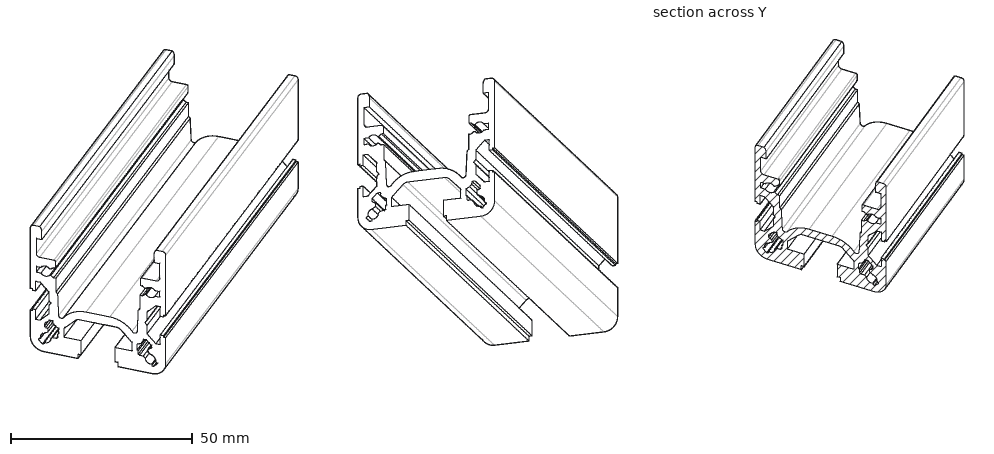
import cadquery as cq
import math


length = 100.0
width = 40.0
height = 40.0
half_width = width / 2
pick_margin = 0.05
base_corner_radius = 4.0

lip_depth = 3.4
lip_underside = 35.9
lip_outer_radius = 1.0
lip_top_depth = 2.8
lip_shoulder_bottom = 38.6
lip_shoulder_radius = 1.8
upright_thickness = 1.8

shelf_top = 30.1
shelf_depth = 7.5
shelf_root_radius = 1.0
shelf_edge_radius = 0.5
channel_height = 26.0
channel_half_slit = 0.9
channel_half_mouth = 1.6
channel_neck_depth = 6.1
channel_half_neck = 1.0
channel_mouth_depth = 6.9
channel_bulge_depth = 4.5
channel_bulge_radius = 1.6

slot_height = 16.0
slot_half_mouth = 3.0
slot_rebate = 0.5
slot_rebate_depth = 0.6
slot_lip_thickness = 1.6
slot_half_cavity = 6.1
slot_taper_depth = 2.9
slot_floor_depth = 5.5
slot_half_floor = slot_half_cavity - (slot_floor_depth - slot_taper_depth)
vee_depth = 0.6
vee_half_width = 0.8

pillar_depth = 7.6
trough_shoulder_depth = 8.1
trough_shoulder_bottom = 19.5
trough_shoulder_top = 20.0
trough_wall_depth = 8.4
web_top = 15.5
web_flat_half = 3.5
web_arc_radius = 8.5
web_arc_foot_depth = 9.9
trough_wall_bottom = 12.6
valley_depth = 9.2
valley_bottom = 11.9

base_thickness = 6.0
cavity_ceiling = 12.6
cavity_ceiling_depth = 13.8
cavity_ceiling_radius = 2.0
cavity_wall_depth = 9.9
cavity_wall_top = cavity_ceiling - (cavity_ceiling_depth - cavity_wall_depth)
base_slot_depth = 15.0
base_slot_rebate = 0.9
base_slot_rebate_height = 1.4

port_centre = 4.5
port_radius = 1.5
port_tip = [(4.5, 4.5), (3.0, 4.1), (2.4, 3.6), (3.6, 2.4), (4.1, 2.6), (4.1, 3.0)]
chamber_outline = [
    (5.7, 10.5),
    (6.6, 10.5),
    (6.7, 9.7),
    (7.3, 9.0),
    (8.4, 8.5),
    (8.4, 6.7),
    (8.1, 6.5),
    (8.1, 5.4),
    (7.7, 5.1),
    (6.6, 5.1),
    (6.0, 4.5),
    (4.5, 4.5),
    (4.2, 6.0),
    (5.2, 6.6),
    (5.2, 7.7),
    (4.6, 7.9),
    (4.2, 8.2),
    (4.2, 9.0),
]


def at(depth, z):
    """Point of the left half in the XZ plane."""
    return (depth - half_width, z)


def extrude(sketch):
    """Extrude a closed profile over the full length, centred on Y = 0."""
    return sketch.extrude(length / 2, both=True)


def prism(points):
    """Full-length prism over a polygon of (depth, height) points."""
    return extrude(cq.Workplane("XZ").polyline([at(*point) for point in points]).close())


def rod(depth, z, radius):
    """Full-length cylinder about a lengthwise axis."""
    return extrude(cq.Workplane("XZ").center(*at(depth, z)).circle(radius))


def arch_height(depth):
    """Height of the arched shoulder of the web at a given depth."""
    run = half_width - web_flat_half - depth
    return web_top - web_arc_radius + math.sqrt(web_arc_radius**2 - run**2)


def edges_at(body, depth, z):
    """Lengthwise edges through one profile point."""
    x, z = at(depth, z)
    box = cq.selectors.BoxSelector(
        (x - pick_margin, -length, z - pick_margin), (x + pick_margin, length, z + pick_margin)
    )
    return body.edges("|Y").edges(box)


def half_body():
    """Left half of the rail before its slots and holes are cut."""
    arc_end = half_width - web_flat_half
    arc_middle = (web_arc_foot_depth + arc_end) / 2
    foot = arch_height(web_arc_foot_depth)
    outline = (
        cq.Workplane("XZ")
        .moveTo(*at(0, 0))
        .lineTo(*at(0, height))
        .lineTo(*at(lip_top_depth, height))
        .radiusArc(at(lip_depth, lip_shoulder_bottom), lip_shoulder_radius)
        .lineTo(*at(lip_depth, lip_underside))
        .lineTo(*at(upright_thickness, lip_underside))
        .lineTo(*at(upright_thickness, shelf_top))
        .lineTo(*at(shelf_depth, shelf_top))
        .lineTo(*at(shelf_depth, channel_height))
        .lineTo(*at(pillar_depth, channel_height))
        .lineTo(*at(pillar_depth, trough_shoulder_top))
        .lineTo(*at(trough_shoulder_depth, trough_shoulder_bottom))
        .lineTo(*at(trough_wall_depth, trough_wall_bottom))
        .threePointArc(at(valley_depth, valley_bottom), at(web_arc_foot_depth, foot))
        .threePointArc(at(arc_middle, arch_height(arc_middle)), at(arc_end, web_top))
        .lineTo(*at(half_width, web_top))
        .lineTo(*at(half_width, cavity_ceiling))
        .lineTo(*at(cavity_ceiling_depth, cavity_ceiling))
        .lineTo(*at(cavity_wall_depth, cavity_wall_top))
        .lineTo(*at(cavity_wall_depth, base_thickness))
        .lineTo(*at(base_slot_depth, base_thickness))
        .lineTo(*at(base_slot_depth, base_slot_rebate_height))
        .lineTo(*at(base_slot_depth - base_slot_rebate, base_slot_rebate_height))
        .lineTo(*at(base_slot_depth - base_slot_rebate, 0))
        .close()
    )
    body = extrude(outline)
    roundings = [
        (0, 0, base_corner_radius),
        (0, height, lip_outer_radius),
        (upright_thickness, shelf_top, shelf_root_radius),
        (shelf_depth, shelf_top, shelf_edge_radius),
        (cavity_ceiling_depth, cavity_ceiling, cavity_ceiling_radius),
    ]
    for depth, z, radius in roundings:
        body = edges_at(body, depth, z).fillet(radius)
    return body


def screw_channel():
    """Slit under the shelf with a round bulge and a flared mouth."""
    upper = [
        (upright_thickness, channel_half_slit),
        (channel_bulge_depth, channel_half_slit),
        (channel_neck_depth, channel_half_neck),
        (channel_mouth_depth, channel_half_mouth),
        (pillar_depth, channel_half_mouth),
    ]
    points = [(depth, channel_height + rise) for depth, rise in upper]
    points += [(depth, channel_height - rise) for depth, rise in reversed(upper)]
    bulge = rod(channel_bulge_depth, channel_height, channel_bulge_radius)
    return prism(points).union(bulge)


def side_slot():
    """T-slot with a rebated mouth, tapered cavity and a V-groove in its floor."""
    upper = [
        (0, slot_half_mouth + slot_rebate),
        (slot_rebate_depth, slot_half_mouth + slot_rebate),
        (slot_rebate_depth, slot_half_mouth),
        (slot_lip_thickness, slot_half_mouth),
        (slot_lip_thickness, slot_half_cavity),
        (slot_taper_depth, slot_half_cavity),
        (slot_floor_depth, slot_half_floor),
        (slot_floor_depth, vee_half_width),
    ]
    points = [(depth, slot_height + rise) for depth, rise in upper]
    points.append((slot_floor_depth + vee_depth, slot_height))
    points += [(depth, slot_height - rise) for depth, rise in reversed(upper)]
    return prism(points)


def corner_hollow():
    """Round screw port with a tip towards the outer corner, opening into a stepped chamber above."""
    port = rod(port_centre, port_centre, port_radius)
    return port.union(prism(port_tip)).union(prism(chamber_outline))


left_half = half_body().cut(screw_channel()).cut(side_slot()).cut(corner_hollow())
result = left_half.union(left_half.mirror("YZ"))